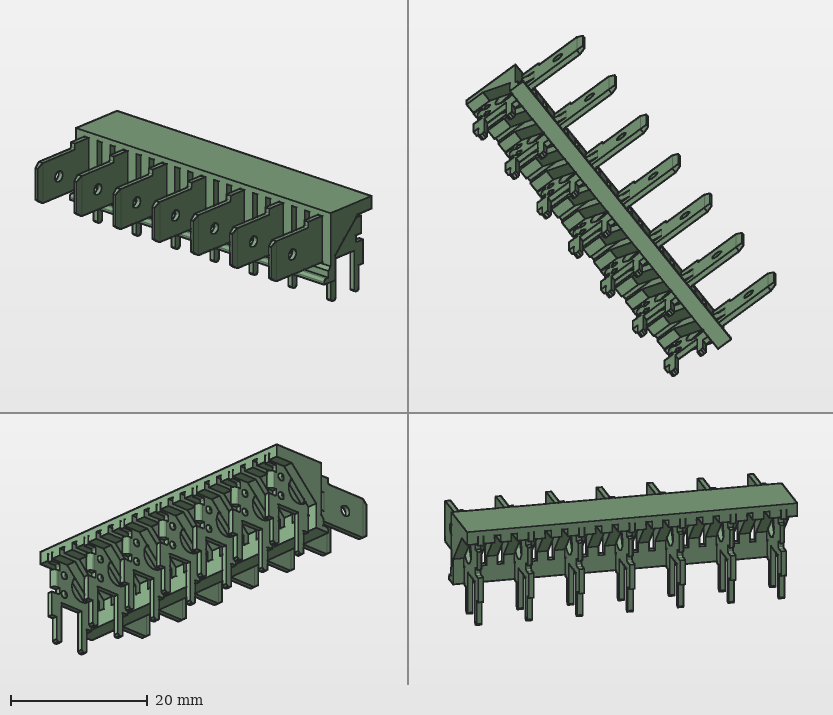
import cadquery as cq


length = 49.85
height = 15.0
front_y = -9.0
web_y = -7.95
housing_bottom = 4.15
slab_bottom = 13.0
web_diagonal_y = -3.05
web_diagonal_z = 8.05

rail_corner_z = 6.65
rail_step = 0.45
rail_step_z = 6.05
rail_shelf_z = 5.0
rail_tip_y = -10.4
rail_nose_radius = 0.45

terminal_count = 7
open_slots_per_gap = 2
terminal_span = 45.7
terminal_pitch = terminal_span / (terminal_count - 1)
slot_pitch = terminal_pitch / (open_slots_per_gap + 1)
slot_count = (terminal_count - 1) * (open_slots_per_gap + 1) + 1
slot_width = 0.9
slot_bottom = 6.7
slot_top = 14.1

sheet = 0.8
blade_bottom = 6.85
blade_top = 13.15
blade_step_y = -12.0
blade_step_radius = 0.25
blade_tip_y = -20.0
blade_mid_z = (blade_bottom + blade_top) / 2
blade_tip_width = 0.45
bevel_length = 0.95
tip_corner_height = 0.7
blade_hole_y = -15.5
blade_hole_diameter = 1.65

plate_bottom = 3.95
window_y = -6.05
window_diameter = 4.0
notch_y = -1.55
notch_radius = 0.25
notch_bottom = 7.75
notch_top = 12.7
tab_bottom = 8.8
tab_top = 11.6
tab_y = -0.4
tab_bend_radius = 0.75

pin_width = 1.05
rear_pin_y = -1.45
front_pin_y = -6.55
pin_gap_top = 6.55
pin_chamfer = 0.3

bump_y = -2.5
bump_heights = (8.05, 11.1)
bump_diameter = 1.15
bump_tip_diameter = 0.15
bump_height = 0.25
latch_root_y = -11.1
latch_free_y = -9.1
latch_root_height = 3.05
latch_free_height = 2.75
latch_rise = 0.25


def extrude_along_x(points, start, width):
    """Extrude a closed (y, z) outline along +X from the given start."""
    return cq.Workplane("YZ", origin=(start, 0, 0)).polyline(points).close().extrude(width)


def row_positions(count, pitch):
    """X positions of a centred, evenly spaced row."""
    return [(index - (count - 1) / 2) * pitch for index in range(count)]


def make_housing():
    outline = [
        (0, height),
        (front_y, height),
        (front_y, rail_corner_z),
        (front_y - rail_step, rail_step_z),
        (front_y - rail_step, rail_shelf_z),
        (rail_tip_y, rail_shelf_z),
        (rail_tip_y, housing_bottom),
        (web_y, housing_bottom),
        (web_y, web_diagonal_z),
        (web_diagonal_y, slab_bottom),
        (0, slab_bottom),
    ]
    body = extrude_along_x(outline, -length / 2, length)
    nose = cq.selectors.NearestToPointSelector((0, rail_tip_y, rail_shelf_z))
    body = body.edges(nose).fillet(rail_nose_radius)

    slot = cq.Workplane("XY").box(
        slot_width, -front_y, slot_top - slot_bottom, centered=(True, False, False)
    ).translate((0, front_y, slot_bottom))
    for x in row_positions(slot_count, slot_pitch):
        body = body.cut(slot.translate((x, 0, 0)))
    return body


def make_pin(centre_y):
    pin = cq.Workplane("XY").box(sheet, pin_width, pin_gap_top, centered=(True, True, False))
    return pin.faces("<Z").edges("|X").chamfer(pin_chamfer).translate((0, centre_y, 0))


def make_plate():
    """Sheet part inside the housing, with its rear notch, rounded tab, window and pins."""
    gap_rear_y = rear_pin_y - pin_width / 2
    gap_front_y = front_pin_y + pin_width / 2
    outline = [
        (0, slot_top),
        (web_y, slot_top),
        (web_y, plate_bottom),
        (gap_front_y, plate_bottom),
        (gap_front_y, pin_gap_top),
        (gap_rear_y, pin_gap_top),
        (gap_rear_y, plate_bottom),
        (0, plate_bottom),
    ]
    plate = extrude_along_x(outline, -sheet / 2, sheet)
    notch = cq.Workplane("XY").box(
        sheet, -notch_y, notch_top - notch_bottom, centered=(True, False, False)
    ).translate((0, notch_y, notch_bottom))
    plate = plate.cut(notch.edges("|X and <Y").fillet(notch_radius))

    tab_root_y = notch_y - notch_radius
    tab = cq.Workplane("XY").box(
        sheet, tab_y - tab_root_y, tab_top - tab_bottom, centered=(True, False, False)
    ).translate((0, tab_root_y, tab_bottom))
    bend_edge = cq.selectors.NearestToPointSelector((-sheet / 2, tab_y, (tab_bottom + tab_top) / 2))
    plate = plate.union(tab.edges(bend_edge).fillet(tab_bend_radius))

    window = cq.Workplane("YZ", origin=(-sheet / 2, window_y, blade_mid_z))
    plate = plate.cut(window.circle(window_diameter / 2).extrude(sheet))
    return plate.union(make_pin(rear_pin_y)).union(make_pin(front_pin_y))


def make_blade():
    """Flat tab in front of the housing, bevelled and clipped at its tip."""
    bevel_y = blade_tip_y + bevel_length
    outline = [
        (web_y, slot_top),
        (blade_step_y, slot_top),
        (blade_step_y, blade_top),
        (bevel_y, blade_top),
        (blade_tip_y, blade_top - tip_corner_height),
        (blade_tip_y, blade_bottom + tip_corner_height),
        (bevel_y, blade_bottom),
        (web_y, blade_bottom),
    ]
    blade = extrude_along_x(outline, -sheet / 2, sheet)
    step_corner = cq.selectors.NearestToPointSelector((0, blade_step_y, blade_top))
    blade = blade.edges(step_corner).fillet(blade_step_radius)
    thickness_outline = [
        (-sheet / 2, web_y),
        (-sheet / 2, bevel_y),
        (-blade_tip_width / 2, blade_tip_y),
        (blade_tip_width / 2, blade_tip_y),
        (sheet / 2, bevel_y),
        (sheet / 2, web_y),
    ]
    blade = blade.intersect(cq.Workplane("XY").polyline(thickness_outline).close().extrude(height))
    hole = cq.Workplane("YZ", origin=(-sheet / 2, blade_hole_y, blade_mid_z))
    return blade.cut(hole.circle(blade_hole_diameter / 2).extrude(sheet))


def make_bump(centre_z):
    """Small cone frustum standing on the -X face of the plate."""
    face = cq.Workplane("YZ", origin=(-sheet / 2, bump_y, centre_z))
    base = face.circle(bump_diameter / 2)
    return base.workplane(offset=-bump_height).circle(bump_tip_diameter / 2).loft()


def make_latch():
    """Tapered tongue on the -X face that rises towards the housing."""
    outline = [
        (latch_root_y, blade_mid_z + latch_root_height / 2),
        (latch_free_y, blade_mid_z + latch_free_height / 2),
        (latch_free_y, blade_mid_z - latch_free_height / 2),
        (latch_root_y, blade_mid_z - latch_root_height / 2),
    ]
    block = extrude_along_x(outline, -sheet / 2 - latch_rise, latch_rise)
    wedge = [
        (-sheet / 2, latch_root_y),
        (-sheet / 2 - latch_rise, latch_free_y),
        (-sheet / 2, latch_free_y),
    ]
    return block.intersect(cq.Workplane("XY").polyline(wedge).close().extrude(height))


def make_terminal():
    terminal = make_plate().union(make_blade()).union(make_latch())
    for centre_z in bump_heights:
        terminal = terminal.union(make_bump(centre_z))
    return terminal


result = make_housing()
terminal = make_terminal()
for x in row_positions(terminal_count, terminal_pitch):
    result = result.union(terminal.translate((x, 0, 0)))